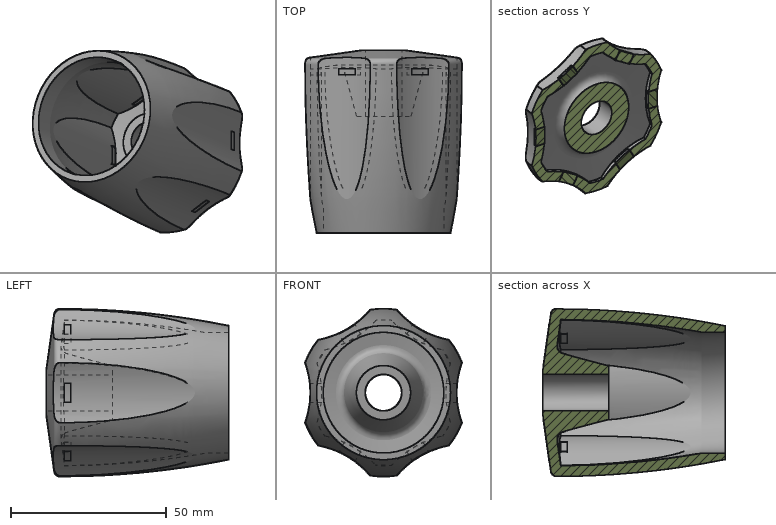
import cadquery as cq
import math

flute_count = 6
flute_step = 360.0 / flute_count

length = 58.66
rim_radius = 21.5
grip_radius = 26.97
shoulder_fillet = 2.0
dome_flat_radius = 7.0
dome_angle = math.radians(8.0)

flute_radius = 28.5
flute_valley = 23.5
flute_centre = flute_valley + flute_radius

wall = 3.55
bore_radius = 19.35
shaft_hole_radius = 5.8
boss_tip_radius = 8.7
boss_base_radius = 13.2
boss_half_angle = math.radians(15.0)
boss_fillet = 2.35

insert_width = 6.0
insert_thickness = 2.0
insert_skin = 0.08
insert_front = 50.75

fillet_centre_radius = grip_radius - shoulder_fillet
dome_edge_radius = fillet_centre_radius + shoulder_fillet * math.sin(dome_angle)
dome_edge_y = length - (dome_edge_radius - dome_flat_radius) * math.tan(dome_angle)
grip_y = dome_edge_y - shoulder_fillet * math.cos(dome_angle)
fillet_mid_angle = (math.pi / 2 - dome_angle) / 2
fillet_mid = (
    fillet_centre_radius + shoulder_fillet * math.cos(fillet_mid_angle),
    grip_y + shoulder_fillet * math.sin(fillet_mid_angle),
)

side_drop = grip_radius - rim_radius
side_arc_radius = (grip_y**2 + side_drop**2) / (2 * side_drop)


def side_radius(y, inset=0.0):
    """Radius at height y of the side arc moved inwards by inset."""
    arc_radius = side_arc_radius - inset
    return grip_radius - side_arc_radius + math.sqrt(arc_radius**2 - (grip_y - y) ** 2)


def roof_y(radius):
    """Height of the cavity roof, which follows the dome one wall below it."""
    drop = (radius - dome_flat_radius) * math.tan(dome_angle)
    return length - wall / math.cos(dome_angle) - drop


def flute_cutters(radius):
    """Cylinders on the flute axes, one for each flute."""
    cutter = cq.Workplane("XZ").center(flute_centre, 0).circle(radius).extrude(-length)
    cutters = []
    for i in range(flute_count):
        cutters.append(cutter.rotate((0, 0, 0), (0, 1, 0), i * flute_step))
    return cutters


def make_outer():
    """Domed body of revolution with the finger flutes scooped out."""
    body = (
        cq.Workplane("XY")
        .lineTo(rim_radius, 0)
        .threePointArc((side_radius(grip_y / 2), grip_y / 2), (grip_radius, grip_y))
        .threePointArc(fillet_mid, (dome_edge_radius, dome_edge_y))
        .lineTo(dome_flat_radius, length)
        .lineTo(0, length)
        .close()
        .revolve(360, (0, 0, 0), (0, 1, 0))
    )
    for cutter in flute_cutters(flute_radius):
        body = body.cut(cutter)
    return body


def make_cavity():
    """Bore, hollow one wall inside the fluted grip, and a tapered boss left standing."""
    boss_height = (boss_base_radius - boss_tip_radius) / math.tan(boss_half_angle)
    tip_y = roof_y(boss_base_radius) - boss_height
    inner_arc_radius = side_arc_radius - wall
    bore_reach = bore_radius - grip_radius + side_arc_radius
    wall_start = grip_y - math.sqrt(inner_arc_radius**2 - bore_reach**2)
    roof_edge_y = roof_y(grip_radius - wall)
    mid_y = (wall_start + roof_edge_y) / 2
    hollow = (
        cq.Workplane("XY")
        .moveTo(0, wall_start)
        .lineTo(bore_radius, wall_start)
        .threePointArc(
            (side_radius(mid_y, wall), mid_y),
            (side_radius(roof_edge_y, wall), roof_edge_y),
        )
        .lineTo(boss_base_radius, roof_y(boss_base_radius))
        .lineTo(boss_tip_radius, tip_y)
        .lineTo(0, tip_y)
        .close()
        .revolve(360, (0, 0, 0), (0, 1, 0))
    )
    hollow = hollow.edges(cq.selectors.RadiusNthSelector(1)).fillet(boss_fillet)
    for cutter in flute_cutters(flute_radius + wall):
        hollow = hollow.cut(cutter)
    bore = cq.Workplane("XZ").circle(bore_radius).extrude(-wall_start)
    return hollow.union(bore)


def make_inserts():
    """One block per flute, from the hollow outwards to a thin skin under the flute."""
    inner_end = flute_valley - wall
    outer_end = flute_valley - insert_skin
    block = (
        cq.Workplane("XY")
        .box(outer_end - inner_end, insert_thickness, insert_width, centered=(False, False, True))
        .translate((inner_end, insert_front, 0))
    )
    return [block.rotate((0, 0, 0), (0, 1, 0), i * flute_step) for i in range(flute_count)]


inserts = make_inserts()
shaft_hole = cq.Workplane("XZ").circle(shaft_hole_radius).extrude(-length)
knob = make_outer().cut(make_cavity()).cut(shaft_hole)
for insert in inserts:
    knob = knob.cut(insert)

result = cq.Compound.makeCompound([knob.val(), *[insert.val() for insert in inserts]])